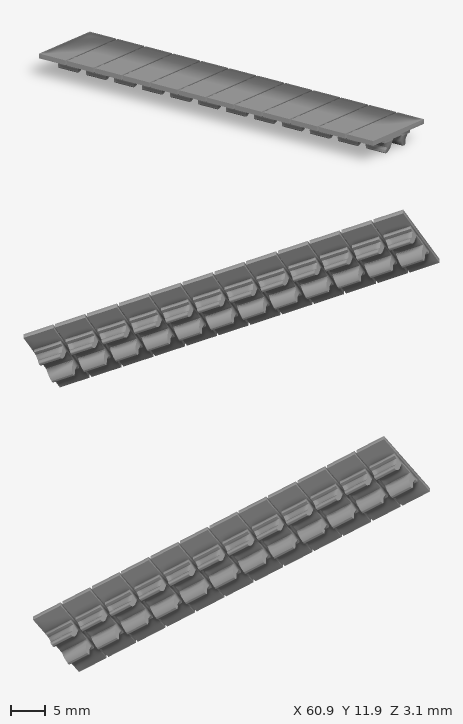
import cadquery as cq

strip_length = 60.9
strip_width = 11.9
total_height = 3.1
plate_count = 12
gap = 0.3
plate_length = (strip_length - (plate_count - 1) * gap) / plate_count
plate_thickness = 0.75
pitch = plate_length + gap

tab_width = 0.7
tab_height = 0.35
tab_top_depth = 0.05
tab_spacing = 8.05

clip_offset = 0.05
base_length = 4.3
base_width = 5.9
base_bottom = 1.3
web_bottom = 1.1

leg_inner = 1.1
leg_outer = 2.4
waist_outer = 2.15
waist_depth = 2.2
bend_inner = 1.2
bend_depth = 2.2
barb_outer = 2.3
barb_depth = 2.55
tip_inner = 1.9
tip_outer = 2.4
tip_depth = 2.9
round_outer = 2.3
round_depth = 3.05
tip_middle = 2.2
bulge_inner = 1.45
bulge_depth = 2.75

tip_length = 3.4


def make_plate():
    plate = cq.Workplane("XY").box(plate_length, strip_width, plate_thickness)
    return plate.translate((0, 0, -plate_thickness / 2))


def make_base():
    """Block under the plate, with a shallow relief between the two legs."""
    return (
        cq.Workplane("YZ")
        .moveTo(-base_width / 2, -plate_thickness)
        .lineTo(-base_width / 2, -base_bottom)
        .lineTo(-leg_inner, -base_bottom)
        .lineTo(-leg_inner, -web_bottom)
        .lineTo(leg_inner, -web_bottom)
        .lineTo(leg_inner, -base_bottom)
        .lineTo(base_width / 2, -base_bottom)
        .lineTo(base_width / 2, -plate_thickness)
        .close()
        .extrude(base_length / 2, both=True)
    )


def make_leg():
    """Leg on the +Y side, hooked outward, with its two ends tapering towards the tip."""
    profile = (
        cq.Workplane("YZ")
        .moveTo(leg_inner, -web_bottom)
        .lineTo(bend_inner, -bend_depth)
        .threePointArc((bulge_inner, -bulge_depth), (tip_inner, -total_height))
        .lineTo(tip_middle, -total_height)
        .threePointArc((round_outer, -round_depth), (tip_outer, -tip_depth))
        .lineTo(barb_outer, -barb_depth)
        .lineTo(waist_outer, -waist_depth)
        .lineTo(leg_outer, -base_bottom)
        .lineTo(leg_outer, -web_bottom)
        .close()
        .extrude(base_length / 2, both=True)
    )
    taper = (
        cq.Workplane("XZ")
        .moveTo(-base_length / 2, -web_bottom)
        .lineTo(-base_length / 2, -base_bottom)
        .lineTo(-tip_length / 2, -total_height)
        .lineTo(tip_length / 2, -total_height)
        .lineTo(base_length / 2, -base_bottom)
        .lineTo(base_length / 2, -web_bottom)
        .close()
        .extrude(strip_width / 2, both=True)
    )
    return profile.intersect(taper)


def make_marker():
    """One plate with its clip, two mirrored legs under a common base."""
    leg = make_leg()
    clip = make_base().union(leg).union(leg.mirror("XZ"))
    return make_plate().union(clip.translate((0, clip_offset, 0)))


def make_tabs():
    """Pair of tabs filling one gap, centred in X."""
    tabs = cq.Workplane("XY").pushPoints(
        [(0, -tab_spacing / 2), (0, tab_spacing / 2)]
    ).box(gap, tab_width, tab_height)
    return tabs.translate((0, 0, -tab_top_depth - tab_height / 2))


marker = make_marker()
tabs = make_tabs()
first_x = (plate_length - strip_length) / 2

result = marker.translate((first_x, 0, 0))
for index in range(1, plate_count):
    x = first_x + index * pitch
    result = result.union(tabs.translate((x - pitch / 2, 0, 0)))
    result = result.union(marker.translate((x, 0, 0)))